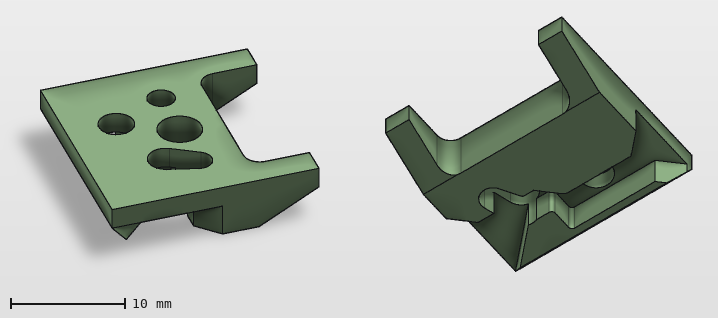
import cadquery as cq
import math

SIDE = 19.2
HEIGHT = 5.0
RIM_HEIGHT = 2.0
CUT_HEIGHT = HEIGHT - RIM_HEIGHT
CENTER = SIDE / 2

FRONT_BEVEL = 2.0
REAR_BEVEL = 5.57

ARM_WIDTH = 2.55
NOTCH_DEPTH = 5.6
NOTCH_RADIUS = 1.5

SMALL_DIAMETER = 2.5
LARGE_DIAMETER = 4.0
THROUGH_DIAMETER = 3.2
BLIND_DEPTH = 4.0
HOLE_PITCH = 5.0
THROUGH_OFFSET = 2.57
SLOT_OFFSET = 3.84
SLOT_DROP = 2.63

FLARE = 2.0
LEFT_FRONT_Y = 2.73
LEFT_REAR_Y = 6.25
RIGHT_FRONT_Y = 5.47
RIGHT_REAR_Y = LEFT_REAR_Y + FLARE
LEFT_MOUTH_Y = LEFT_FRONT_Y - FLARE
RIGHT_MOUTH_Y = 0.04
FRONT_STEP_X = 11.14
REAR_STEP_X = 9.15
FRONT_STEP_RADIUS = 0.38
REAR_STEP_RADIUS = 0.8


def bevelled_block():
    """Square block with both lower edges along X cut away."""
    profile = [
        (0, HEIGHT),
        (0, CUT_HEIGHT),
        (FRONT_BEVEL, 0),
        (SIDE - REAR_BEVEL, 0),
        (SIDE, CUT_HEIGHT),
        (SIDE, HEIGHT),
    ]
    return cq.Workplane("YZ").polyline(profile).close().extrude(SIDE)


def rear_notch():
    """Full-height opening in the rear with two rounded inner corners."""
    width = SIDE - 2 * ARM_WIDTH
    notch = cq.Workplane("XY").box(width, 2 * NOTCH_DEPTH, HEIGHT, centered=(True, True, False))
    return notch.edges("|Z and <Y").fillet(NOTCH_RADIUS).translate((CENTER, SIDE, 0))


def underside_channel():
    """Side-to-side channel with flared mouths and rounded steps in its two walls."""
    front_step_foot = (FRONT_STEP_X, LEFT_FRONT_Y)
    front_step_head = (FRONT_STEP_X, RIGHT_FRONT_Y)
    rear_step_start = (REAR_STEP_X, LEFT_REAR_Y)
    outline = [
        (0, LEFT_MOUTH_Y),
        (FLARE, LEFT_FRONT_Y),
        front_step_foot,
        front_step_head,
        (SIDE - (RIGHT_FRONT_Y - RIGHT_MOUTH_Y), RIGHT_FRONT_Y),
        (SIDE, RIGHT_MOUTH_Y),
        (SIDE, RIGHT_REAR_Y + FLARE),
        (SIDE - FLARE, RIGHT_REAR_Y),
        (REAR_STEP_X + FLARE, RIGHT_REAR_Y),
        rear_step_start,
        (FLARE, LEFT_REAR_Y),
        (0, LEFT_REAR_Y + FLARE),
    ]
    channel = cq.Workplane("XY").polyline(outline).close().extrude(CUT_HEIGHT)
    rounded_corners = [
        (front_step_foot, FRONT_STEP_RADIUS),
        (front_step_head, FRONT_STEP_RADIUS),
        (rear_step_start, REAR_STEP_RADIUS),
    ]
    for (x, y), radius in rounded_corners:
        corner_edge = cq.selectors.NearestToPointSelector((x, y, CUT_HEIGHT / 2))
        channel = channel.edges(corner_edge).fillet(radius)
    return channel


def hole(x, y, diameter, depth):
    """Round cutter reaching down from the top face."""
    return cq.Workplane("XY", origin=(x, y, HEIGHT - depth)).circle(diameter / 2).extrude(depth)


def tapered_slot(wide_end, narrow_end, wide_radius, narrow_radius):
    """Through cutter made of two round ends joined by their outer tangent lines."""
    dx = narrow_end[0] - wide_end[0]
    dy = narrow_end[1] - wide_end[1]
    axis = math.atan2(dy, dx)
    spread = math.acos((wide_radius - narrow_radius) / math.hypot(dx, dy))

    def on_end(center, radius, angle):
        return (center[0] + radius * math.cos(angle), center[1] + radius * math.sin(angle))

    return (
        cq.Workplane("XY")
        .moveTo(*on_end(wide_end, wide_radius, axis - spread))
        .lineTo(*on_end(narrow_end, narrow_radius, axis - spread))
        .threePointArc(
            on_end(narrow_end, narrow_radius, axis),
            on_end(narrow_end, narrow_radius, axis + spread),
        )
        .lineTo(*on_end(wide_end, wide_radius, axis + spread))
        .threePointArc(
            on_end(wide_end, wide_radius, axis + math.pi),
            on_end(wide_end, wide_radius, axis - spread),
        )
        .close()
        .extrude(HEIGHT)
    )


result = bevelled_block().cut(rear_notch()).cut(underside_channel())

result = result.cut(hole(CENTER, CENTER, LARGE_DIAMETER, BLIND_DEPTH))
result = result.cut(hole(CENTER - HOLE_PITCH, CENTER, SMALL_DIAMETER, BLIND_DEPTH))
result = result.cut(hole(CENTER - THROUGH_OFFSET, CENTER - HOLE_PITCH, THROUGH_DIAMETER, HEIGHT))

result = result.cut(
    tapered_slot(
        (CENTER + SLOT_OFFSET, CENTER - SLOT_DROP),
        (CENTER + HOLE_PITCH, CENTER),
        THROUGH_DIAMETER / 2,
        SMALL_DIAMETER / 2,
    )
)